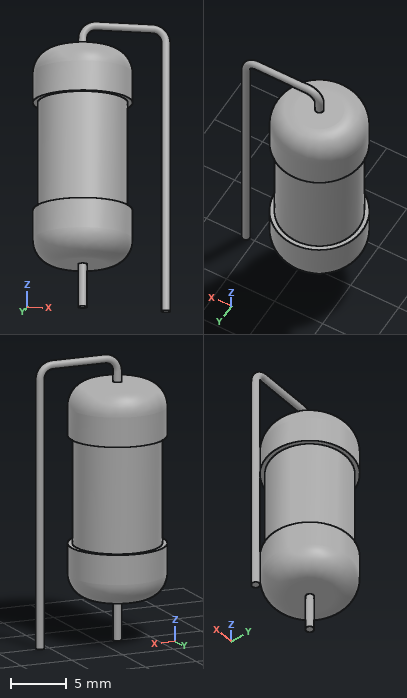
import cadquery as cq

total_height = 26.6
lead_diameter = 0.8
lead_pitch = 7.63
bend_radius = 1.22

body_bottom = 4.0
body_length = 20.0
core_diameter = 8.1
cap_diameter = 9.0
cap_length = body_length / 4
cap_rounding = cap_diameter / 4


def make_body():
    """Cylindrical core between two caps, rounded on their outer rims."""
    core_length = body_length - 2 * cap_length
    core = (
        cq.Workplane("XY")
        .workplane(offset=cap_length)
        .circle(core_diameter / 2)
        .extrude(core_length)
    )
    lower_cap = (
        cq.Workplane("XY")
        .circle(cap_diameter / 2)
        .extrude(cap_length)
        .faces("<Z")
        .edges()
        .fillet(cap_rounding)
    )
    upper_cap = lower_cap.mirror("XY").translate((0, 0, body_length))
    return core.union(lower_cap).union(upper_cap).translate((0, 0, body_bottom))


def make_lead():
    """Round wire through the body, bent over and returned down beside it."""
    top = total_height - lead_diameter / 2
    bend_start = top - bend_radius
    path = (
        cq.Workplane("XZ")
        .moveTo(0, 0)
        .lineTo(0, bend_start)
        .tangentArcPoint((bend_radius, top), relative=False)
        .lineTo(lead_pitch - bend_radius, top)
        .tangentArcPoint((lead_pitch, bend_start), relative=False)
        .lineTo(lead_pitch, 0)
    )
    return cq.Workplane("XY").circle(lead_diameter / 2).sweep(path)


result = make_body().union(make_lead())